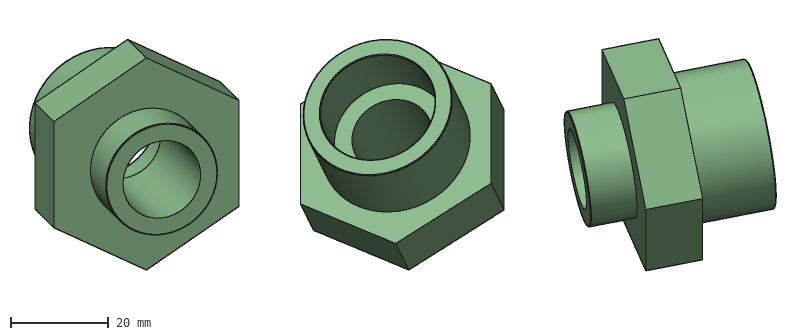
import cadquery as cq

length = 38.3
socket_length = 16.55
hex_length = 11.95

hex_corner_height = 46.2
hex_flat_width = 40.1

socket_diameter = 31.35
spigot_diameter = 24.2
socket_bore_diameter = 24.1
through_bore_diameter = 16.75

socket_bore_depth = 13.03
edge_chamfer = 0.2

hex_end = socket_length + hex_length


def cylinder(diameter, start, end):
    """Solid cylinder on the X axis between two X positions."""
    return cq.Workplane("YZ", origin=(start, 0, 0)).circle(diameter / 2).extrude(end - start)


def hexagon():
    half_width = hex_flat_width / 2
    top = hex_corner_height / 2
    shoulder = top / 2
    corners = [
        (0, top),
        (half_width, shoulder),
        (half_width, -shoulder),
        (0, -top),
        (-half_width, -shoulder),
        (-half_width, shoulder),
    ]
    return cq.Workplane("YZ", origin=(socket_length, 0, 0)).polyline(corners).close().extrude(hex_length)


socket = cylinder(socket_diameter, 0, socket_length).faces("<X").chamfer(edge_chamfer)
spigot = cylinder(spigot_diameter, hex_end, length).faces(">X").chamfer(edge_chamfer)

socket_bore = cylinder(socket_bore_diameter, 0, socket_bore_depth)
through_bore = cylinder(through_bore_diameter, 0, length)

body = socket.union(hexagon()).union(spigot).cut(socket_bore).cut(through_bore)

result = body.faces("<X").edges(cq.selectors.RadiusNthSelector(0)).chamfer(edge_chamfer)